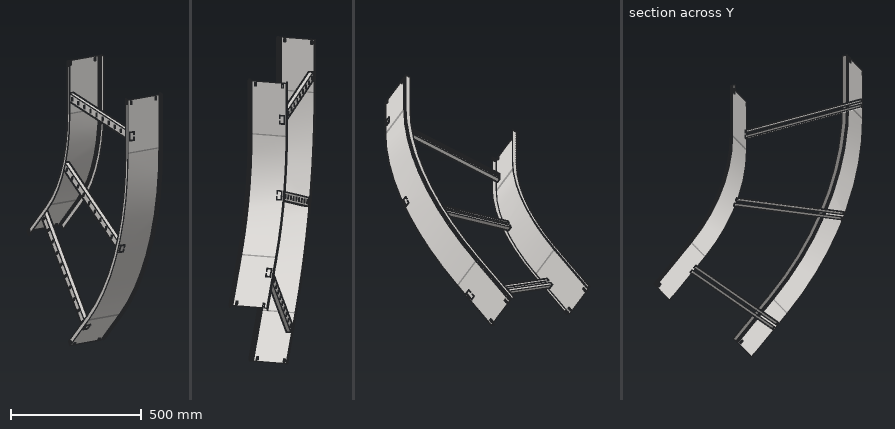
import cadquery as cq
import math


BEND_ANGLE = 45.0
TOTAL_HEIGHT = 1150.0
LADDER_WIDTH = 500.0
INNER_RADIUS = 605.0
OUTER_RADIUS = INNER_RADIUS + LADDER_WIDTH
BEND_COS = math.cos(math.radians(BEND_ANGLE))
BEND_SIN = math.sin(math.radians(BEND_ANGLE))
STRAIGHT_LENGTH = (TOTAL_HEIGHT - OUTER_RADIUS * BEND_SIN) / (1 + BEND_COS)

RAIL_DEPTH = 150.0
FLANGE_WIDTH = 20.0
RAIL_SHEET = 2.0
BEAD_START = 5.0
BEAD_SLOPE = 3.0
BEAD_FLOOR = 3.0
BEAD_HEIGHT = 3.0

RAIL_SLOT_LENGTH = 14.0
RAIL_SLOT_WIDTH = 7.0
SLOT_TO_END = 13.0
FRONT_WEB_SLOT_Y = 15.0
BACK_WEB_SLOT_Y = RAIL_DEPTH - 29.0
FLANGE_SLOT_INSET = 9.0

RUNG_HEIGHT = 36.0
RUNG_DEPTH = 20.0
RUNG_FRONT_Y = 8.0
RUNG_LIP = 13.0
RUNG_SHEET = 2.0
RUNG_TO_END = 150.0
MIDDLE_RUNG_SHIFT = 7.0
RUNG_SLOT_COUNT = 10
RUNG_SLOT_PITCH = 50.0
RUNG_SLOT_LENGTH = 15.0
RUNG_SLOT_WIDTH = 7.0


def bend(shape, angle):
    """Turn a shape about the bend axis."""
    return shape.rotate((0, 0, 0), (0, 1, 0), angle)


def rail_section(web_x, inward):
    """C section with a stiffening bead pressed inwards along the back of the web."""
    bead_1 = RAIL_DEPTH - BEAD_START
    bead_2 = bead_1 - BEAD_SLOPE
    bead_3 = bead_2 - BEAD_FLOOR
    bead_4 = bead_3 - BEAD_SLOPE
    outer_side = [
        (FLANGE_WIDTH, 0),
        (0, 0),
        (0, bead_4),
        (BEAD_HEIGHT, bead_3),
        (BEAD_HEIGHT, bead_2),
        (0, bead_1),
        (0, RAIL_DEPTH),
        (FLANGE_WIDTH, RAIL_DEPTH),
    ]
    inner_side = [
        (FLANGE_WIDTH, RAIL_DEPTH - RAIL_SHEET),
        (RAIL_SHEET, RAIL_DEPTH - RAIL_SHEET),
        (RAIL_SHEET, bead_1),
        (BEAD_HEIGHT + RAIL_SHEET, bead_2),
        (BEAD_HEIGHT + RAIL_SHEET, bead_3),
        (RAIL_SHEET, bead_4),
        (RAIL_SHEET, RAIL_SHEET),
        (FLANGE_WIDTH, RAIL_SHEET),
    ]
    points = [(web_x + inward * depth, y) for depth, y in outer_side + inner_side]
    return cq.Workplane("XY").polyline(points).close()


def end_slots(web_x, inward):
    """Cutters for the three slots at the end of an unbent straight above Z = 0."""
    slot_z = STRAIGHT_LENGTH - SLOT_TO_END
    web_slots = (
        cq.Workplane("YZ", origin=(web_x, 0, 0))
        .pushPoints([(FRONT_WEB_SLOT_Y, slot_z), (BACK_WEB_SLOT_Y, slot_z)])
        .rect(RAIL_SLOT_WIDTH, RAIL_SLOT_LENGTH)
        .extrude(RAIL_SHEET, both=True)
    )
    flange_slot = (
        cq.Workplane("XZ")
        .center(web_x + inward * FLANGE_SLOT_INSET, slot_z)
        .rect(RAIL_SLOT_WIDTH, RAIL_SLOT_LENGTH)
        .extrude(RAIL_SHEET, both=True)
    )
    return web_slots.union(flange_slot)


def make_rail(web_x, inward, rungs):
    """Straight, arc and straight in one solid; the rungs pass through matching openings in the web."""
    upper = rail_section(web_x, inward).extrude(STRAIGHT_LENGTH)
    arc = rail_section(web_x, inward).revolve(BEND_ANGLE, (0, 0), (0, 1))
    lower = bend(rail_section(web_x, inward).extrude(-STRAIGHT_LENGTH), BEND_ANGLE)
    rail = upper.union(arc).union(lower).clean()

    upper_slots = end_slots(web_x, inward)
    rail = rail.cut(upper_slots).cut(bend(upper_slots.mirror("XY"), BEND_ANGLE))
    for rung in rungs:
        rail = rail.cut(rung)
    return rail


def make_rung(along, angle):
    """Lipped C channel open to the back, at height `along` and then turned about the bend axis."""
    back_y = RUNG_FRONT_Y + RUNG_DEPTH
    middle_y = RUNG_FRONT_Y + RUNG_DEPTH / 2
    middle_x = (INNER_RADIUS + OUTER_RADIUS) / 2
    tube = (
        cq.Workplane("YZ", origin=(INNER_RADIUS, middle_y, along))
        .rect(RUNG_DEPTH, RUNG_HEIGHT)
        .extrude(LADDER_WIDTH)
    )
    hollow = (
        cq.Workplane("YZ", origin=(INNER_RADIUS, middle_y, along))
        .rect(RUNG_DEPTH - 2 * RUNG_SHEET, RUNG_HEIGHT - 2 * RUNG_SHEET)
        .extrude(LADDER_WIDTH)
    )
    back_opening = cq.Workplane("XY", origin=(middle_x, back_y, along)).box(
        LADDER_WIDTH, RUNG_DEPTH, RUNG_HEIGHT - 2 * RUNG_LIP
    )
    slots = (
        cq.Workplane("XZ", origin=(middle_x, RUNG_FRONT_Y, along))
        .rarray(RUNG_SLOT_PITCH, 11, RUNG_SLOT_COUNT, 1)
        .slot2D(RUNG_SLOT_LENGTH, RUNG_SLOT_WIDTH, 90)
        .extrude(RUNG_SHEET, both=True)
    )
    return bend(tube.cut(hollow).cut(back_opening).cut(slots), angle)


end_rung_height = STRAIGHT_LENGTH - RUNG_TO_END
rung_places = [
    (end_rung_height, 0),
    (MIDDLE_RUNG_SHIFT, BEND_ANGLE / 2),
    (-end_rung_height, BEND_ANGLE),
]
rungs = [make_rung(along, angle) for along, angle in rung_places]

inner_rail = make_rail(INNER_RADIUS, 1, rungs)
outer_rail = make_rail(OUTER_RADIUS, -1, rungs)

result = cq.Compound.makeCompound(
    [inner_rail.val(), outer_rail.val(), *[rung.val() for rung in rungs]]
)